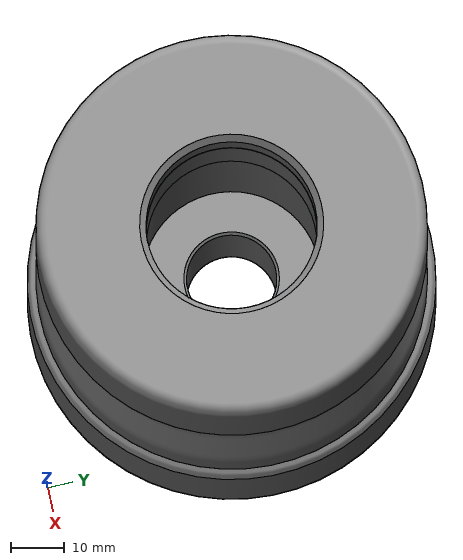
import cadquery as cq
import math


base_radius = 76.2 / 2
total_height = 63.5

base_bottom_chamfer_radial = 0.2
base_bottom_chamfer_height = 0.5
base_side_top = 16.85
steep_cone_angle = math.radians(60)
shallow_cone_angle = math.radians(30)
steep_cone_end_radius = 37.65
cone_round_radius = 1.1
through_hole_radius = 8.4
through_hole_chamfer = 0.5

socket_radius = 36.5
top_round = 2.0
groove_top = 46.5
groove_cone_top = 34.1
groove_cone_bottom = 26.8
groove_cone_angle = math.radians(14)
shoulder_round_radius = 10.5

mouth_chamfer = 1.2
mouth_radius = 15.95
mouth_bottom = 57.6
bore_radius = 15.88
bore_bottom = 46.8
chamber_radius = 16.6
chamber_cone_height = 1.5


def point_on_circle(center, radius, angle):
    """Point (r, z) on a circle, with the angle measured from the +r direction."""
    return (center[0] + radius * math.cos(angle), center[1] + radius * math.sin(angle))


def revolve_profile(profile):
    """Turn a closed (r, z) profile about the Z axis."""
    return profile.close().revolve(360, (0, 0, 0), (0, 1, 0))


steep_normal = math.pi / 2 - steep_cone_angle
shallow_normal = math.pi / 2 - shallow_cone_angle
steep_cone_end = (
    steep_cone_end_radius,
    base_side_top + (base_radius - steep_cone_end_radius) * math.tan(steep_cone_angle),
)
cone_round_center = point_on_circle(steep_cone_end, -cone_round_radius, steep_normal)
cone_round_middle = point_on_circle(
    cone_round_center, cone_round_radius, (steep_normal + shallow_normal) / 2
)
shallow_cone_start = point_on_circle(cone_round_center, cone_round_radius, shallow_normal)

seat_height = shallow_cone_start[1] + (shallow_cone_start[0] - socket_radius) * math.tan(shallow_cone_angle)


def make_base():
    profile = (
        cq.Workplane("XZ")
        .moveTo(through_hole_radius, 0)
        .lineTo(base_radius - base_bottom_chamfer_radial, 0)
        .lineTo(base_radius, base_bottom_chamfer_height)
        .lineTo(base_radius, base_side_top)
        .lineTo(*steep_cone_end)
        .threePointArc(cone_round_middle, shallow_cone_start)
        .lineTo(socket_radius, seat_height)
        .lineTo(through_hole_radius + through_hole_chamfer, seat_height)
        .lineTo(through_hole_radius, seat_height - through_hole_chamfer)
    )
    return revolve_profile(profile)


def make_socket():
    shoulder_center = (
        socket_radius - shoulder_round_radius,
        groove_cone_bottom - shoulder_round_radius * math.sin(groove_cone_angle),
    )
    shoulder_start = (socket_radius, shoulder_center[1])
    shoulder_middle = point_on_circle(shoulder_center, shoulder_round_radius, groove_cone_angle / 2)
    shoulder_end = point_on_circle(shoulder_center, shoulder_round_radius, groove_cone_angle)

    cone_height = groove_cone_top - groove_cone_bottom
    groove_start = (shoulder_end[0] - cone_height * math.tan(groove_cone_angle), groove_cone_top)
    rise = groove_top - groove_start[1]
    flare = socket_radius - groove_start[0]
    groove_radius = (flare**2 + rise**2) / (
        2 * (flare * math.cos(groove_cone_angle) + rise * math.sin(groove_cone_angle))
    )
    groove_center = point_on_circle(groove_start, groove_radius, groove_cone_angle)
    groove_bottom = (groove_center[0] - groove_radius, groove_center[1])

    top_round_center = (socket_radius - top_round, total_height - top_round)
    top_round_middle = point_on_circle(top_round_center, top_round, math.pi / 4)

    chamber_top = bore_bottom - chamber_cone_height

    profile = (
        cq.Workplane("XZ")
        .moveTo(chamber_radius, seat_height)
        .lineTo(socket_radius, seat_height)
        .lineTo(*shoulder_start)
        .threePointArc(shoulder_middle, shoulder_end)
        .lineTo(*groove_start)
        .threePointArc(groove_bottom, (socket_radius, groove_top))
        .lineTo(socket_radius, top_round_center[1])
        .threePointArc(top_round_middle, (top_round_center[0], total_height))
        .lineTo(mouth_radius + mouth_chamfer, total_height)
        .lineTo(mouth_radius, total_height - mouth_chamfer)
        .lineTo(mouth_radius, mouth_bottom)
        .lineTo(bore_radius, mouth_bottom)
        .lineTo(bore_radius, bore_bottom)
        .lineTo(chamber_radius, chamber_top)
    )
    return revolve_profile(profile)


base = make_base()
socket = make_socket()

result = cq.Compound.makeCompound([base.val(), socket.val()])